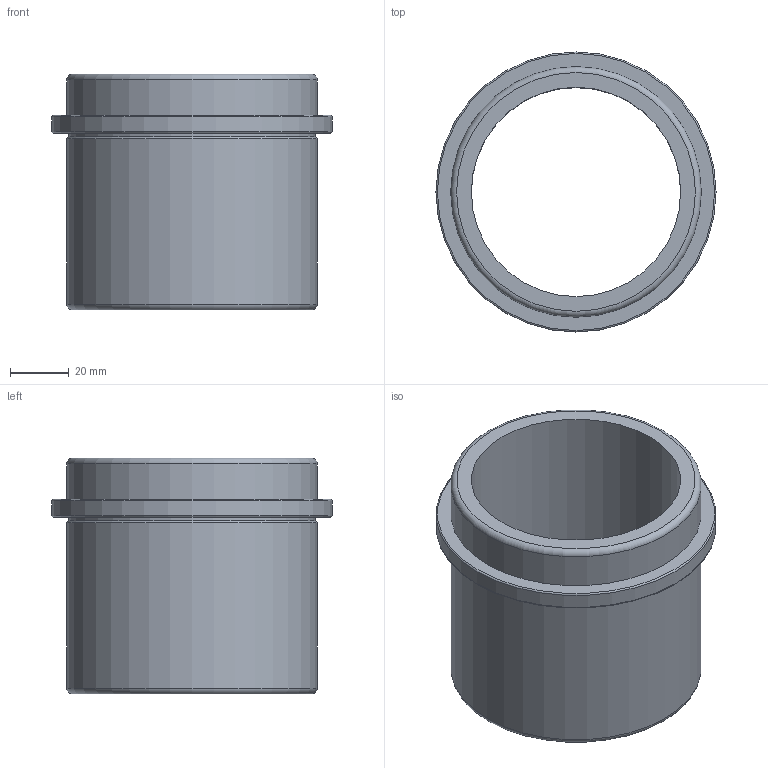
import cadquery as cq

height = 80.0
body_diameter = 85.0
bore_diameter = 71.0
collar_diameter = 95.0
collar_thickness = 6.0
collar_drop = 14.0
rim_radius = 2.0
collar_edge_radius = 0.5
groove_depth = 0.7
groove_width = 2.0

body_radius = body_diameter / 2
groove_radius = body_radius - groove_depth
collar_top = height - collar_drop
collar_bottom = collar_top - collar_thickness
groove_bottom = collar_bottom - groove_width


def cylinder(radius, bottom, top):
    """Upright cylinder on the Z axis between two levels."""
    return cq.Workplane("XY").workplane(offset=bottom).circle(radius).extrude(top - bottom)


def sleeve_body():
    """Plain cylinder with both outer rims rounded."""
    return cylinder(body_radius, 0, height).faces("<Z or >Z").edges().fillet(rim_radius)


def collar():
    """Locating collar with both outer edges rounded."""
    disc = cylinder(collar_diameter / 2, collar_bottom, collar_top)
    return disc.faces("<Z or >Z").edges().fillet(collar_edge_radius)


def relief_groove():
    """Shallow ring under the collar, with a 45 degree lower wall."""
    return (
        cq.Workplane("XZ")
        .moveTo(groove_radius, collar_bottom)
        .lineTo(groove_radius, groove_bottom + groove_depth)
        .lineTo(body_radius, groove_bottom)
        .lineTo(body_radius, collar_bottom)
        .close()
        .revolve(360, (0, 0), (0, 1))
    )


bore = cylinder(bore_diameter / 2, 0, height)

result = sleeve_body().cut(relief_groove()).union(collar()).cut(bore)